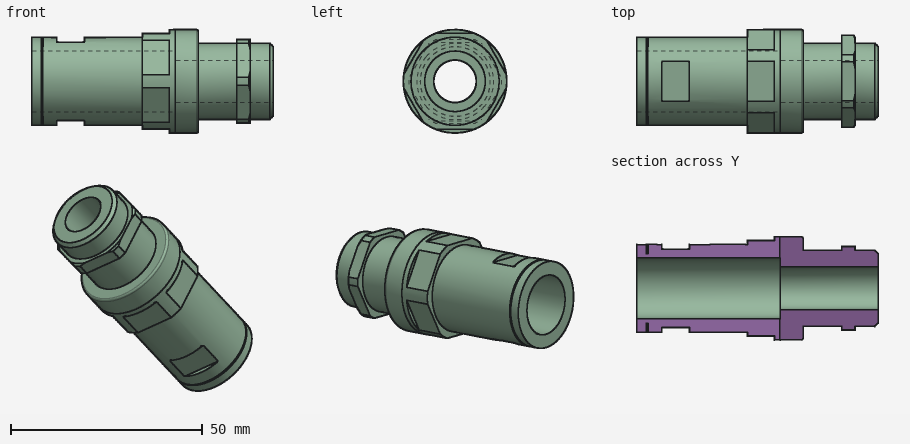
import cadquery as cq
import math

TOTAL_LENGTH = 63.0
GROOVE_START = 2.5
GROOVE_WIDTH = 0.4
POCKET_START = 6.55
POCKET_END = 13.75
COLLAR_START = 28.85
WRENCH_FLATS_END = 35.9
JOINT = 37.4
FLANGE_END = 43.5
HEX_START = 53.4
HEX_END = 56.95

SLEEVE_DIAMETER = 23.0
GROOVE_DIAMETER = 18.3
SLEEVE_BORE = 15.8
COLLAR_DIAMETER = 27.0
COLLAR_ACROSS_FLATS = 24.95
POCKET_ACROSS_FLATS = 20.5
SPIGOT_DIAMETER = 20.0
SPIGOT_TIP_DIAMETER = 18.15
SPIGOT_BORE = 11.0
HEX_ACROSS_FLATS = 21.8
HEX_CORNER_DIAMETER = 24.05
HEX_FACE_DIAMETER = 22.8

POCKET_CORNER_RADIUS = 0.4
FLANGE_FILLET = 0.55
TIP_CHAMFER_LENGTH = 0.95
HEX_CHAMFER_LENGTH = 0.4

FLAT_COUNT = 6


def cylinder(start, end, diameter):
    """Solid cylinder along X between two stations."""
    return cq.Workplane("YZ", origin=(start, 0, 0)).circle(diameter / 2).extrude(end - start)


def cone(start, end, start_diameter, end_diameter):
    """Solid truncated cone along X between two stations."""
    profile = [(start, 0), (start, start_diameter / 2), (end, end_diameter / 2), (end, 0)]
    return cq.Workplane("XY").polyline(profile).close().revolve(360, (0, 0, 0), (1, 0, 0))


def hexagon(start, end, across_flats):
    """Hexagonal prism along X with one pair of flats facing up and down."""
    plane = cq.Workplane("YZ", origin=(start, 0, 0))
    prism = plane.polygon(FLAT_COUNT, across_flats, circumscribed=True).extrude(end - start)
    half_flat_angle = 180 / FLAT_COUNT
    return prism.rotate((0, 0, 0), (1, 0, 0), half_flat_angle)


def wrench_pocket(side):
    """Cutter for a flat-bottomed pocket above (side = 1) or below (side = -1) the axis."""
    length = POCKET_END - POCKET_START
    center_x = (POCKET_START + POCKET_END) / 2
    depth = (SLEEVE_DIAMETER - POCKET_ACROSS_FLATS) / 2
    pocket_width = math.sqrt(SLEEVE_DIAMETER**2 - POCKET_ACROSS_FLATS**2)
    center_z = side * (POCKET_ACROSS_FLATS / 2 + depth / 2)
    block = cq.Workplane("XY").box(length, pocket_width, depth).edges("|Z").fillet(POCKET_CORNER_RADIUS)
    return block.translate((center_x, 0, center_z))


def make_sleeve():
    """Grooved, bored sleeve with a six-flat collar."""
    body = cylinder(0, COLLAR_START, SLEEVE_DIAMETER)
    for side in (1, -1):
        body = body.cut(wrench_pocket(side))

    flats = hexagon(COLLAR_START, WRENCH_FLATS_END, COLLAR_ACROSS_FLATS)
    collar = cylinder(COLLAR_START, WRENCH_FLATS_END, COLLAR_DIAMETER).intersect(flats)
    rim = cylinder(WRENCH_FLATS_END, JOINT, COLLAR_DIAMETER)
    body = body.union(collar).union(rim)

    groove_end = GROOVE_START + GROOVE_WIDTH
    groove = cylinder(GROOVE_START, groove_end, SLEEVE_DIAMETER)
    groove = groove.cut(cylinder(GROOVE_START, groove_end, GROOVE_DIAMETER))
    return body.cut(groove).cut(cylinder(0, JOINT, SLEEVE_BORE))


def make_hex_ring():
    """Hexagon with rounded corners, chamfered toward the spigot tip."""
    chamfer_start = HEX_END - HEX_CHAMFER_LENGTH
    envelope = cylinder(HEX_START, chamfer_start, HEX_CORNER_DIAMETER)
    envelope = envelope.union(cone(chamfer_start, HEX_END, HEX_CORNER_DIAMETER, HEX_FACE_DIAMETER))
    return hexagon(HEX_START, HEX_END, HEX_ACROSS_FLATS).intersect(envelope)


def make_spigot():
    """Flanged, bored spigot that carries the hexagonal ring."""
    flange = cylinder(JOINT, FLANGE_END, COLLAR_DIAMETER).faces(">X").edges().fillet(FLANGE_FILLET)
    tip_start = TOTAL_LENGTH - TIP_CHAMFER_LENGTH
    shank = cylinder(FLANGE_END, tip_start, SPIGOT_DIAMETER)
    tip = cone(tip_start, TOTAL_LENGTH, SPIGOT_DIAMETER, SPIGOT_TIP_DIAMETER)
    body = flange.union(shank).union(tip).union(make_hex_ring())
    return body.cut(cylinder(JOINT, TOTAL_LENGTH, SPIGOT_BORE))


sleeve = make_sleeve()
spigot = make_spigot()
result = cq.Compound.makeCompound([sleeve.val(), spigot.val()])